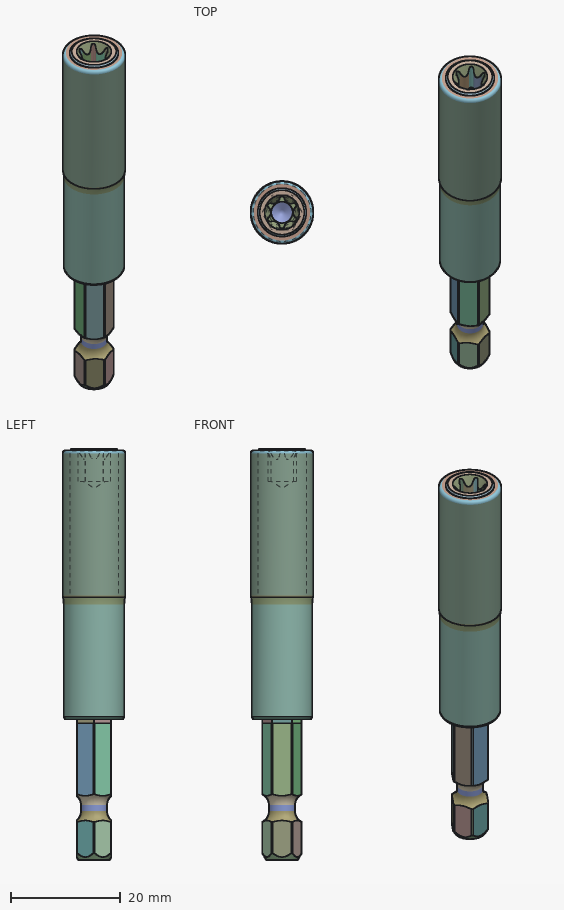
import cadquery as cq
import math

total_height = 75.0
sleeve_top = 74.7
sleeve_bottom = 47.9
flare_bottom = 46.6
barrel_bottom = 25.65
neck_bottom = 25.0

sleeve_diameter = 11.5
sleeve_radius = sleeve_diameter / 2
core_radius = 4.4
sleeve_top_fillet = 0.6
sleeve_chamfer_height = 0.3
sleeve_chamfer_width = 0.1

barrel_radius = 5.55
barrel_chamfer_width = 0.3
barrel_chamfer_height = 0.45
core_chamfer = 0.4

hex_sides = 6
hex_turn = 30.0
hex_flats = 6.4
neck_flats = 6.3
hex_round_radius = 3.6
tip_radius = 2.85
tip_chamfer_height = 1.3

groove_radius = 2.4
groove_top = 10.05
groove_bottom = 8.9
groove_flare_radius = 2.2

lobe_count = 6
lobe_tip_radius = 2.9
lobe_valley_radius = 2.0
lobe_round_radius = 0.45
mouth_radius = 3.15
mouth_angle = 60.0
socket_depth = 6.0
drill_radius = 1.95
drill_angle = 118.0


def make_sleeve():
    """Plain tube around the core, rounded at the top and slightly chamfered below."""
    tube = cq.Workplane("XY").workplane(offset=sleeve_bottom).circle(sleeve_radius)
    tube = tube.extrude(sleeve_top - sleeve_bottom)
    tube = tube.faces(">Z").edges().fillet(sleeve_top_fillet)
    tube = tube.faces("<Z").edges().chamfer(sleeve_chamfer_height, sleeve_chamfer_width)
    bore = cq.Workplane("XY").workplane(offset=sleeve_bottom).circle(core_radius)
    return tube.cut(bore.extrude(sleeve_top - sleeve_bottom))


def make_barrel():
    """Turned barrel, flared out to meet the sleeve, with the thinner core that carries it."""
    profile = (
        cq.Workplane("XZ")
        .moveTo(0, barrel_bottom)
        .lineTo(barrel_radius - barrel_chamfer_width, barrel_bottom)
        .lineTo(barrel_radius, barrel_bottom + barrel_chamfer_height)
        .lineTo(barrel_radius, flare_bottom)
        .tangentArcPoint((sleeve_radius - sleeve_chamfer_width, sleeve_bottom), relative=False)
        .lineTo(core_radius, sleeve_bottom)
        .lineTo(core_radius, total_height - core_chamfer)
        .lineTo(core_radius - core_chamfer, total_height)
        .lineTo(0, total_height)
        .close()
    )
    return profile.revolve(360, (0, 0, 0), (0, 1, 0))


def flare_arc_height(radius):
    """Axial distance from the groove floor to where its flare reaches the given radius."""
    return math.sqrt(groove_flare_radius**2 - (groove_radius + groove_flare_radius - radius) ** 2)


def make_shank():
    """Hexagonal bar and its slimmer neck, trimmed by a turned envelope with the tip cone and groove."""
    bar = cq.Workplane("XY").polygon(hex_sides, hex_flats, circumscribed=True).extrude(neck_bottom)
    neck = cq.Workplane("XY").workplane(offset=neck_bottom).polygon(hex_sides, neck_flats, circumscribed=True)
    bar = bar.union(neck.extrude(barrel_bottom - neck_bottom))
    bar = bar.rotate((0, 0, 0), (0, 0, 1), hex_turn)
    flare_height = flare_arc_height(hex_round_radius)
    middle_radius = (groove_radius + hex_round_radius) / 2
    middle_height = flare_arc_height(middle_radius)
    envelope = (
        cq.Workplane("XZ")
        .lineTo(tip_radius, 0)
        .lineTo(hex_round_radius, tip_chamfer_height)
        .lineTo(hex_round_radius, groove_bottom - flare_height)
        .threePointArc((middle_radius, groove_bottom - middle_height), (groove_radius, groove_bottom))
        .lineTo(groove_radius, groove_top)
        .threePointArc(
            (middle_radius, groove_top + middle_height), (hex_round_radius, groove_top + flare_height)
        )
        .lineTo(hex_round_radius, barrel_bottom)
        .lineTo(0, barrel_bottom)
        .close()
        .revolve(360, (0, 0, 0), (0, 1, 0))
    )
    return bar.intersect(envelope)


def polar(radius, degrees):
    """Point at a radius and an angle about the Z axis."""
    angle = math.radians(degrees)
    return radius * math.cos(angle), radius * math.sin(angle)


def make_socket():
    """Six-lobed recess with a conical mouth and a drill point below its floor."""
    pitch = 360 / lobe_count
    half_pitch = pitch / 2
    tip_centre = lobe_tip_radius - lobe_round_radius
    cos_half = math.cos(math.radians(half_pitch))
    valley_round = (
        tip_centre**2 + lobe_valley_radius**2 - 2 * tip_centre * lobe_valley_radius * cos_half
        - lobe_round_radius**2
    ) / (2 * (lobe_round_radius - lobe_valley_radius + tip_centre * cos_half))
    valley_centre = lobe_valley_radius + valley_round
    share = lobe_round_radius / (lobe_round_radius + valley_round)
    joint_x = tip_centre + share * (valley_centre * cos_half - tip_centre)
    joint_y = share * valley_centre * math.sin(math.radians(half_pitch))
    joint_radius = math.hypot(joint_x, joint_y)
    joint_angle = math.degrees(math.atan2(joint_y, joint_x))

    floor = total_height - socket_depth
    first_tip = half_pitch
    outline = cq.Workplane("XY").workplane(offset=floor)
    outline = outline.moveTo(*polar(joint_radius, first_tip - joint_angle))
    for lobe in range(lobe_count):
        tip = first_tip + lobe * pitch
        outline = outline.threePointArc(polar(lobe_tip_radius, tip), polar(joint_radius, tip + joint_angle))
        outline = outline.threePointArc(
            polar(lobe_valley_radius, tip + half_pitch), polar(joint_radius, tip + pitch - joint_angle)
        )
    recess = outline.close().extrude(socket_depth)

    mouth_depth = mouth_radius / math.tan(math.radians(mouth_angle / 2))
    mouth = cq.Solid.makeCone(0, mouth_radius, mouth_depth, pnt=cq.Vector(0, 0, total_height - mouth_depth))
    drill_depth = drill_radius / math.tan(math.radians(drill_angle / 2))
    drill_point = cq.Solid.makeCone(0, drill_radius, drill_depth, pnt=cq.Vector(0, 0, floor - drill_depth))
    return recess.union(cq.Workplane(mouth)).union(cq.Workplane(drill_point))


holder = make_barrel().union(make_shank()).cut(make_socket())
sleeve = make_sleeve()

result = cq.Compound.makeCompound([holder.val(), sleeve.val()])